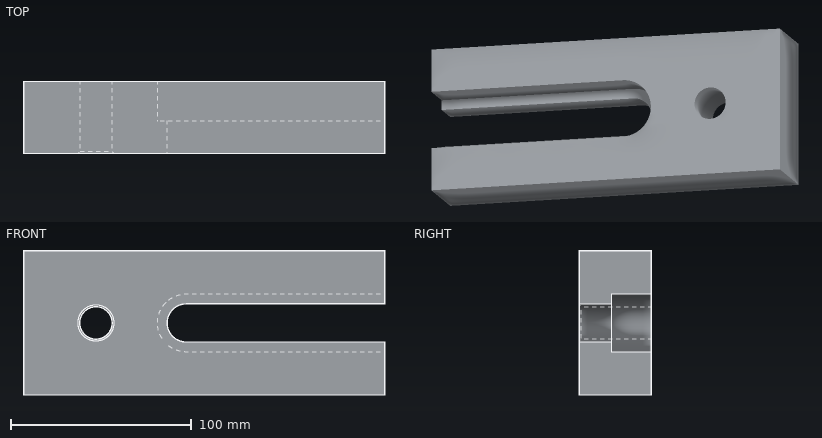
import cadquery as cq

length = 200.0
thickness = 40.0
height = 80.0

slot_center_x = 90.0
slot_width = 21.0
recess_width = 32.0
recess_depth = 22.0

hole_center_x = 40.0
hole_diameter = 17.84
mouth_diameter = 20.0

mid_height = height / 2


def make_block():
    """Rectangular block with its front face on the XZ plane."""
    return cq.Workplane("XY").box(length, thickness, height, centered=False)


def make_slot(width, front_y):
    """Slot cutter with a round inner end, open at the right end, from front_y to the back face."""
    radius = width / 2
    bottom = mid_height - radius
    top = mid_height + radius
    return (
        cq.Workplane("XZ", origin=(0, front_y, 0))
        .moveTo(length, bottom)
        .lineTo(slot_center_x, bottom)
        .threePointArc((slot_center_x - radius, mid_height), (slot_center_x, top))
        .lineTo(length, top)
        .close()
        .extrude(front_y - thickness)
    )


def make_hole():
    """Hole cutter through the thickness, flared by a 45 degree chamfer at the front."""
    radius = hole_diameter / 2
    mouth_radius = mouth_diameter / 2
    chamfer_size = mouth_radius - radius
    profile = [
        (0, 0),
        (mouth_radius, 0),
        (radius, chamfer_size),
        (radius, thickness),
        (0, thickness),
    ]
    return (
        cq.Workplane("XY")
        .polyline(profile)
        .close()
        .revolve(360, (0, 0, 0), (0, 1, 0))
        .translate((hole_center_x, 0, mid_height))
    )


through_slot = make_slot(slot_width, 0)
back_recess = make_slot(recess_width, thickness - recess_depth)

result = make_block().cut(through_slot).cut(back_recess).cut(make_hole())